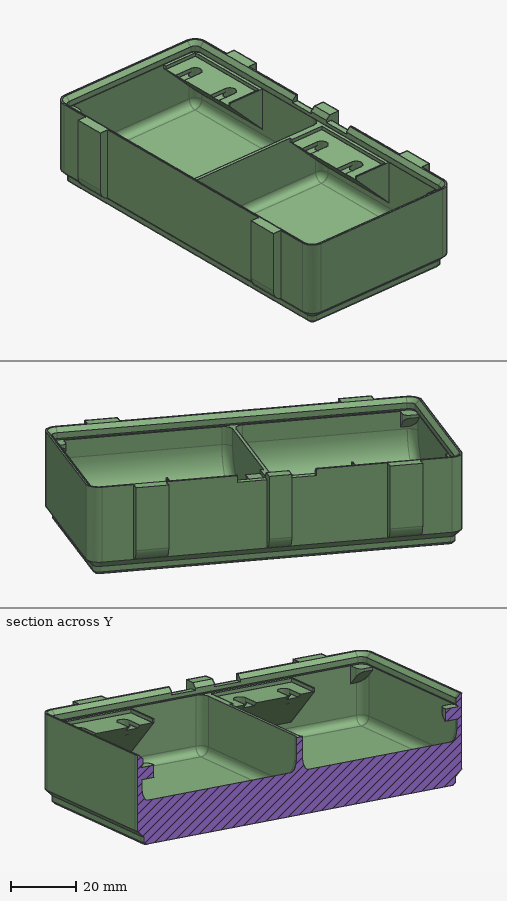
import cadquery as cq
import math

body_length = 118.5
body_width = 57.5
total_height = 29.0
body_corner_radius = 4.0
foot_bevel = 0.8
foot_straight = 1.8
foot_inset = 2.1
foot_height = foot_bevel + foot_straight + foot_inset

rim_width = 0.6
lip_slope = 1.4
lip_straight = 1.9
lip_width = rim_width + lip_slope
lip_bottom = total_height - lip_slope - lip_straight

wall = 1.3
divider = 1.1
floor_level = 6.0
lip_overhang = lip_width - wall
inner_top = lip_bottom - lip_overhang
cavity_fillet = body_corner_radius - wall
scoop_radius = 13.2
cavity_back = body_width / 2 - wall
cavity_front = -body_width / 2 + lip_width
cavity_length = (body_length - 2 * wall - divider) / 2
compartment_pitch = cavity_length + divider
first_cavity_left = -body_length / 2 + wall

shelf_length = 30.8
shelf_front = 14.2
pocket_start = 1.1
pocket_length = 29.3
pocket_back = 26.3
pocket_depth = 1.2
slot_width = 4.0
slot_spacing = 16.0
slot_centre_y = 20.4
slot_depth = 1.3
slot_hole_depth = 3.8

pad_size = 4.1
pad_radius = 1.9
pad_edge = 1.0

rib_projection = 3.02
rib_width = 10.3
rib_offset = 40.0
rib_radius = 4.0
catch_width = 7.1
catch_centre = -0.4
notch_span = 24.9
notch_depth = 2.1

clearance = 1.2


def rounded_block(inset, bottom, height):
    """Body outline moved in by inset, extruded upward."""
    return (
        cq.Workplane("XY")
        .workplane(offset=bottom)
        .rect(body_length - 2 * inset, body_width - 2 * inset)
        .extrude(height)
        .edges("|Z")
        .fillet(body_corner_radius - inset)
    )


def side_profile():
    """Workplane for outlines drawn in Y and Z, extruded along +X."""
    return cq.Workplane("YZ")


def box_between(x_range, y_range, z_range):
    """Box given by its limits along each axis."""
    corner = (x_range[0], y_range[0], z_range[0])
    size = (x_range[1] - x_range[0], y_range[1] - y_range[0], z_range[1] - z_range[0])
    return cq.Workplane("XY").box(*size, centered=False).translate(corner)


def make_body():
    """Solid outer shape: bevelled foot and the body flaring out above it."""
    foot = rounded_block(foot_inset, 0, foot_height).faces("<Z").chamfer(foot_bevel)
    flare_bottom = foot_height - foot_inset
    upper = rounded_block(0, flare_bottom, total_height - flare_bottom)
    return foot.union(upper.faces("<Z").chamfer(foot_inset))


def make_lip_opening():
    """Space inside the lip: a straight throat that widens toward the rim."""
    throat = rounded_block(lip_width, lip_bottom, total_height - lip_bottom)
    mouth = rounded_block(rim_width, total_height - lip_slope, lip_slope + clearance)
    return throat.union(mouth.faces("<Z").chamfer(lip_slope))


def make_cavity():
    """Space of the first compartment, up to the top of the divider."""
    cavity = (
        side_profile()
        .moveTo(cavity_front, inner_top)
        .lineTo(cavity_front, floor_level + scoop_radius)
        .radiusArc((cavity_front + scoop_radius, floor_level), -scoop_radius)
        .lineTo(cavity_back, floor_level)
        .lineTo(cavity_back, inner_top)
        .close()
        .extrude(cavity_length)
    )
    ends = cavity.faces("<X or >X").edges("not >Z")
    back_floor = cavity.faces(">Y").edges("<Z")
    cavity = cavity.newObject(ends.vals() + back_floor.vals()).fillet(cavity_fillet)
    return cavity.translate((first_cavity_left, 0, 0))


def make_lip_undercut():
    """Space above the divider that narrows from the wall faces to the lip throat."""
    space = rounded_block(wall, floor_level, lip_bottom - floor_level)
    space = space.faces(">Z").chamfer(lip_overhang)
    return space.intersect(rounded_block(0, inner_top, lip_overhang))


def make_shelf():
    """Label shelf of the first compartment: a wedge with a label pocket and two keyhole slots."""
    shelf_depth = cavity_back + wall / 2 - shelf_front
    shelf = (
        side_profile()
        .moveTo(shelf_front, inner_top)
        .lineTo(shelf_front, inner_top - pocket_depth)
        .line(shelf_depth, -shelf_depth)
        .lineTo(shelf_front + shelf_depth, inner_top)
        .close()
        .extrude(shelf_length + wall / 2)
        .translate((first_cavity_left - wall / 2, 0, 0))
    )
    pocket_left = first_cavity_left + pocket_start
    pocket_floor = inner_top - pocket_depth
    pocket = box_between(
        (pocket_left, pocket_left + pocket_length),
        (shelf_front, pocket_back),
        (pocket_floor, inner_top),
    )
    shelf = shelf.cut(pocket)
    pocket_middle = pocket_left + pocket_length / 2
    for side in (-1, 1):
        slot_x = pocket_middle + side * slot_spacing / 2
        hole = (
            cq.Workplane("XY", origin=(slot_x, slot_centre_y, pocket_floor - slot_hole_depth))
            .circle(slot_width / 2)
            .extrude(slot_hole_depth)
        )
        slot = box_between(
            (slot_x - slot_width / 2, slot_x + slot_width / 2),
            (shelf_front, slot_centre_y),
            (pocket_floor - slot_depth, pocket_floor),
        )
        shelf = shelf.cut(hole).cut(slot)
    return shelf.intersect(wall_limit)


def make_corner_pad():
    """Pad in the back right corner, carried by a 45 degree wedge on each of the two walls."""
    right = body_length / 2 - wall / 2
    back = body_width / 2 - wall / 2
    reach = lip_width + pad_size - wall / 2
    depth = pad_edge + reach
    block = (
        box_between((right - reach, right), (back - reach, back), (inner_top - depth, inner_top))
        .edges("|Z and <X and <Y")
        .fillet(pad_radius)
    )
    wedge = (
        side_profile()
        .moveTo(-reach, 0)
        .lineTo(-reach, -pad_edge)
        .lineTo(0, -depth)
        .lineTo(0, 0)
        .close()
        .extrude(-reach)
    )
    wedge_on_back = wedge.translate((right, back, inner_top))
    wedge_on_right = wedge.mirror("XZ").rotate((0, 0, 0), (0, 0, 1), -90).translate((right, back, inner_top))
    return block.intersect(wedge_on_back.union(wedge_on_right)).intersect(wall_limit)


def make_rib(centre_x, width):
    """Upright rib on the back wall with a rounded lower end."""
    wall_inside = body_width / 2 - wall / 2
    rib_face = body_width / 2 + rib_projection
    arc_end_y = body_width / 2
    arc_end_drop = math.sqrt(rib_radius**2 - (rib_radius - rib_projection) ** 2)
    arc_start_z = foot_height + arc_end_drop
    return (
        side_profile()
        .moveTo(wall_inside, total_height)
        .lineTo(rib_face, total_height)
        .lineTo(rib_face, arc_start_z)
        .radiusArc((arc_end_y, foot_height), rib_radius)
        .lineTo(wall_inside, foot_height)
        .close()
        .extrude(width / 2, both=True)
        .translate((centre_x, 0, 0))
    )


wall_limit = rounded_block(wall / 2, floor_level, total_height - floor_level)

lip_opening = make_lip_opening()
cavity = make_cavity()
shelf = make_shelf()

result = make_body().cut(cavity).cut(cavity.translate((compartment_pitch, 0, 0)))
result = result.cut(make_lip_undercut())
result = result.union(shelf).union(shelf.translate((compartment_pitch, 0, 0)))

back_right_pad = make_corner_pad()
front_right_pad = back_right_pad.mirror("XZ")
front_left_pad = front_right_pad.mirror("YZ")
for pad in (back_right_pad, front_right_pad, front_left_pad):
    result = result.union(pad)

result = result.cut(lip_opening)

for rib_x in (-rib_offset, rib_offset):
    rib = make_rib(rib_x, rib_width).cut(lip_opening)
    result = result.union(rib).union(rib.mirror("XZ"))

notch_bottom = total_height - notch_depth
for notch_x in (
    (-notch_span / 2, catch_centre - catch_width / 2),
    (catch_centre + catch_width / 2, notch_span / 2),
):
    notch = box_between(
        notch_x,
        (body_width / 2 - lip_width - clearance, body_width / 2),
        (notch_bottom, total_height),
    )
    result = result.cut(notch)
catch = make_rib(catch_centre, catch_width).cut(lip_opening)
result = result.union(catch)